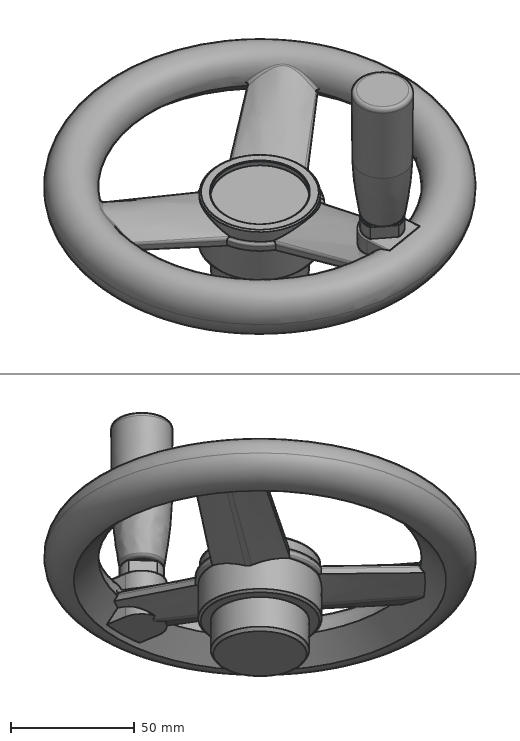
import cadquery as cq
import math

OUTER_RADIUS = 87.5
TOTAL_HEIGHT = 128.0

RIM_TUBE_RADIUS = 11.0
RIM_CENTRE_RADIUS = OUTER_RADIUS - RIM_TUBE_RADIUS
RIM_INNER_RADIUS = RIM_CENTRE_RADIUS - RIM_TUBE_RADIUS
RIM_CENTRE_Z = 44.8
RIM_TOP_Z = RIM_CENTRE_Z + RIM_TUBE_RADIUS
RIM_CONE_START_ANGLE = math.radians(5.0)
RIM_CONE_END_ANGLE = math.radians(85.0)

HUB_RADIUS = 50.0 / 2
HUB_STEP_Z = 15.2
HUB_STEP_CHAMFER = 1.0
SPIGOT_RADIUS = 39.9 / 2
SPIGOT_CHAMFER_HEIGHT = 1.5
SPIGOT_CHAMFER_WIDTH = 1.0
COLLAR_RADIUS = 24.5
COLLAR_TOP_Z = 41.8
COLLAR_CHAMFER = 0.7
RECESS_RADIUS = 39.9 / 2
RECESS_DEPTH = 2.5
RECESS_CHAMFER = 0.3
FLANGE_RADIUS = 26.2
FLANGE_BOTTOM_Z = 32.0
FLANGE_TOP_Z = 36.0
FLANGE_ROUNDING = 1.0

SPOKE_COUNT = 3
SPOKE_INNER_X = 15.7
SPOKE_OUTER_X = 77.0
SPOKE_INNER_HALF_WIDTH = 16.3
SPOKE_OUTER_HALF_WIDTH = 13.6
SPOKE_INNER_CROWN_Z = 37.6
SPOKE_OUTER_CROWN_Z = 55.0
SPOKE_INNER_SIDE_TOP_Z = 35.2
SPOKE_OUTER_SIDE_TOP_Z = 47.8
SPOKE_INNER_SIDE_BOTTOM_Z = 31.3
SPOKE_OUTER_SIDE_BOTTOM_Z = 44.5
SPOKE_INNER_KEEL_Z = 24.3
SPOKE_OUTER_KEEL_Z = 40.8
SPOKE_TOP_ROUNDING = 1.5
SPOKE_KEEL_ROUNDING = 3.5
SPOKE_BLEND_RADIUS = 1.4

HANDLE_X = 63.1
SEAT_RADIUS = 10.1
SEAT_END_X = 74.7
SEAT_BOTTOM_Z = 35.5
SEAT_TOP_ROUNDING = 0.5

NUT_RADIUS = 9.1
NUT_ACROSS_FLATS = 14.0
NUT_FLAT_ANGLE = -45.0
NUT_TOP_Z = 62.5
NUT_CHAMFER = 0.5
NECK_RADIUS = 13.3 / 2
GRIP_BOTTOM_Z = 63.0
GRIP_BOTTOM_RADIUS = 9.1
GRIP_BOTTOM_ROUNDING = 1.5
GRIP_WAIST_Z = 91.7
GRIP_WAIST_RADIUS = 12.2
GRIP_TAPER_BULGE = 0.5
GRIP_TOP_RADIUS = 25.0 / 2
GRIP_TOP_ROUNDING = 2.0


def rim_tube_point(angle):
    """Point on the rim's round section, as radius and height; the angle turns down from the inner side."""
    return (
        RIM_CENTRE_RADIUS - RIM_TUBE_RADIUS * math.cos(angle),
        RIM_CENTRE_Z - RIM_TUBE_RADIUS * math.sin(angle),
    )


def make_rim():
    """Full round ring of the wheel, its closing seam turned midway between two spokes."""
    return (
        cq.Workplane("XZ")
        .center(RIM_CENTRE_RADIUS, RIM_CENTRE_Z)
        .circle(RIM_TUBE_RADIUS)
        .revolve(360, (-RIM_CENTRE_RADIUS, 0, 0), (-RIM_CENTRE_RADIUS, 1, 0))
        .rotate((0, 0, 0), (0, 0, 1), 180 / SPOKE_COUNT)
    )


def make_rim_relief():
    """Sliver of the ring below the cone on its inner side."""
    return (
        cq.Workplane("XZ")
        .moveTo(*rim_tube_point(RIM_CONE_START_ANGLE))
        .threePointArc(
            rim_tube_point((RIM_CONE_START_ANGLE + RIM_CONE_END_ANGLE) / 2),
            rim_tube_point(RIM_CONE_END_ANGLE),
        )
        .close()
        .revolve(360, (0, 0, 0), (0, 1, 0))
    )


def make_rim_with_spokes():
    """Ring and spokes, with the top of each spoke blended into the ring and the underside relieved."""
    spokes = make_spokes()
    blended = make_rim().union(spokes)
    junctions = []
    for index in range(SPOKE_COUNT):
        angle = index * 2 * math.pi / SPOKE_COUNT
        near_junction = (
            RIM_INNER_RADIUS * math.cos(angle),
            RIM_INNER_RADIUS * math.sin(angle),
            RIM_CENTRE_Z + RIM_TUBE_RADIUS / 2,
        )
        junctions.append(blended.edges(cq.NearestToPointSelector(near_junction)).val())
    blended = blended.newObject(junctions).fillet(SPOKE_BLEND_RADIUS)
    return blended.cut(make_rim_relief()).union(spokes)


def make_hub():
    """Stepped hub with a thin flange level with the spokes."""
    spigot = (
        cq.Workplane("XY")
        .circle(SPIGOT_RADIUS)
        .extrude(HUB_STEP_Z)
        .faces("<Z")
        .chamfer(SPIGOT_CHAMFER_HEIGHT, SPIGOT_CHAMFER_WIDTH)
    )
    barrel = (
        cq.Workplane("XY", origin=(0, 0, HUB_STEP_Z))
        .circle(HUB_RADIUS)
        .extrude(FLANGE_BOTTOM_Z - HUB_STEP_Z)
        .faces("<Z")
        .chamfer(HUB_STEP_CHAMFER)
    )
    flange = (
        cq.Workplane("XY", origin=(0, 0, FLANGE_BOTTOM_Z))
        .circle(FLANGE_RADIUS)
        .extrude(FLANGE_TOP_Z - FLANGE_BOTTOM_Z)
        .edges()
        .fillet(FLANGE_ROUNDING)
    )
    collar = (
        cq.Workplane("XY", origin=(0, 0, FLANGE_BOTTOM_Z))
        .circle(COLLAR_RADIUS)
        .extrude(COLLAR_TOP_Z - FLANGE_BOTTOM_Z)
        .faces(">Z")
        .chamfer(COLLAR_CHAMFER)
    )
    return spigot.union(barrel).union(flange).union(collar)


def cut_recess(wheel):
    """Sink the round recess into the hub top and break its rim."""
    recess = (
        cq.Workplane("XY", origin=(0, 0, COLLAR_TOP_Z))
        .circle(RECESS_RADIUS)
        .extrude(-RECESS_DEPTH)
    )
    lip = (
        cq.Workplane("XY", origin=(0, 0, COLLAR_TOP_Z))
        .circle(RECESS_RADIUS + RECESS_CHAMFER)
        .extrude(-RECESS_CHAMFER, taper=45)
    )
    return wheel.cut(recess).cut(lip)


def spoke_section(x, half_width, crown_z, side_top_z, side_bottom_z, keel_z):
    """Section across a spoke: arched top with rounded corners, upright sides and a rounded V below.

    The side top and the keel heights are those of the sharp corners before rounding.
    """
    rise = crown_z - side_top_z
    arch_radius = (half_width**2 + rise**2) / (2 * rise)
    arch_centre_z = crown_z - arch_radius

    corner_y = half_width - SPOKE_TOP_ROUNDING
    centre_distance = arch_radius - SPOKE_TOP_ROUNDING
    corner_z = arch_centre_z + math.sqrt(centre_distance**2 - corner_y**2)
    stretch = arch_radius / centre_distance
    arch_end_y = corner_y * stretch
    arch_end_z = arch_centre_z + (corner_z - arch_centre_z) * stretch

    slope = (side_bottom_z - keel_z) / half_width
    keel_end_y = SPOKE_KEEL_ROUNDING * math.sin(math.atan(slope))
    keel_end_z = keel_z + keel_end_y * slope

    return (
        cq.Workplane("YZ", origin=(x, 0, 0))
        .moveTo(-half_width, side_bottom_z)
        .lineTo(-half_width, corner_z)
        .tangentArcPoint((-arch_end_y, arch_end_z), relative=False)
        .threePointArc((0, crown_z), (arch_end_y, arch_end_z))
        .tangentArcPoint((half_width, corner_z), relative=False)
        .lineTo(half_width, side_bottom_z)
        .lineTo(keel_end_y, keel_end_z)
        .tangentArcPoint((-keel_end_y, keel_end_z), relative=False)
        .close()
        .wires()
        .val()
    )


def make_spoke():
    """One spoke along +X, rising from the hub to the rim."""
    inner = spoke_section(
        SPOKE_INNER_X, SPOKE_INNER_HALF_WIDTH, SPOKE_INNER_CROWN_Z,
        SPOKE_INNER_SIDE_TOP_Z, SPOKE_INNER_SIDE_BOTTOM_Z, SPOKE_INNER_KEEL_Z,
    )
    outer = spoke_section(
        SPOKE_OUTER_X, SPOKE_OUTER_HALF_WIDTH, SPOKE_OUTER_CROWN_Z,
        SPOKE_OUTER_SIDE_TOP_Z, SPOKE_OUTER_SIDE_BOTTOM_Z, SPOKE_OUTER_KEEL_Z,
    )
    return cq.Workplane(cq.Solid.makeLoft([inner, outer], True))


def make_seat():
    """D-shaped boss that carries the handle and runs out into the rim."""
    return (
        cq.Workplane("XY", origin=(0, 0, SEAT_BOTTOM_Z))
        .moveTo(SEAT_END_X, -SEAT_RADIUS)
        .lineTo(HANDLE_X, -SEAT_RADIUS)
        .threePointArc((HANDLE_X - SEAT_RADIUS, 0), (HANDLE_X, SEAT_RADIUS))
        .lineTo(SEAT_END_X, SEAT_RADIUS)
        .close()
        .extrude(RIM_TOP_Z - SEAT_BOTTOM_Z)
        .edges(">Z and (not >X)")
        .fillet(SEAT_TOP_ROUNDING)
    )


def make_spokes():
    """All spokes, evenly spaced around the hub axis."""
    spoke = make_spoke()
    spokes = spoke
    for index in range(1, SPOKE_COUNT):
        spokes = spokes.union(spoke.rotate((0, 0, 0), (0, 0, 1), index * 360 / SPOKE_COUNT))
    return spokes


def make_wheel():
    """Rim, spokes, hub and handle seat as one solid."""
    wheel = make_rim_with_spokes().union(make_hub()).union(make_seat())
    return cut_recess(wheel)


def make_handle():
    """Grip standing on a neck and a round nut with two wrench flats."""
    nut = (
        cq.Workplane("XY")
        .circle(NUT_RADIUS)
        .extrude(NUT_TOP_Z - RIM_TOP_Z)
    )
    flats = (
        cq.Workplane("XY")
        .rect(NUT_ACROSS_FLATS, 2 * NUT_RADIUS)
        .extrude(NUT_TOP_Z - RIM_TOP_Z)
        .rotate((0, 0, 0), (0, 0, 1), NUT_FLAT_ANGLE)
    )
    nut = nut.intersect(flats).faces(">Z").chamfer(NUT_CHAMFER).translate((0, 0, RIM_TOP_Z))
    neck = (
        cq.Workplane("XY", origin=(0, 0, RIM_TOP_Z))
        .circle(NECK_RADIUS)
        .extrude(GRIP_BOTTOM_Z - RIM_TOP_Z)
    )
    taper_middle = (
        (GRIP_BOTTOM_RADIUS + GRIP_WAIST_RADIUS) / 2 + GRIP_TAPER_BULGE,
        (GRIP_BOTTOM_Z + GRIP_WAIST_Z) / 2,
    )
    grip = (
        cq.Workplane("XZ")
        .moveTo(0, GRIP_BOTTOM_Z)
        .lineTo(GRIP_BOTTOM_RADIUS, GRIP_BOTTOM_Z)
        .threePointArc(taper_middle, (GRIP_WAIST_RADIUS, GRIP_WAIST_Z))
        .lineTo(GRIP_TOP_RADIUS, TOTAL_HEIGHT)
        .lineTo(0, TOTAL_HEIGHT)
        .close()
        .revolve(360, (0, 0, 0), (0, 1, 0))
    )
    grip = grip.faces(">Z").edges().fillet(GRIP_TOP_ROUNDING)
    grip = grip.faces("<Z").edges().fillet(GRIP_BOTTOM_ROUNDING)
    return nut.union(neck).union(grip).translate((HANDLE_X, 0, 0))


wheel = make_wheel()
handle = make_handle()
result = cq.Compound.makeCompound([wheel.val(), handle.val()])